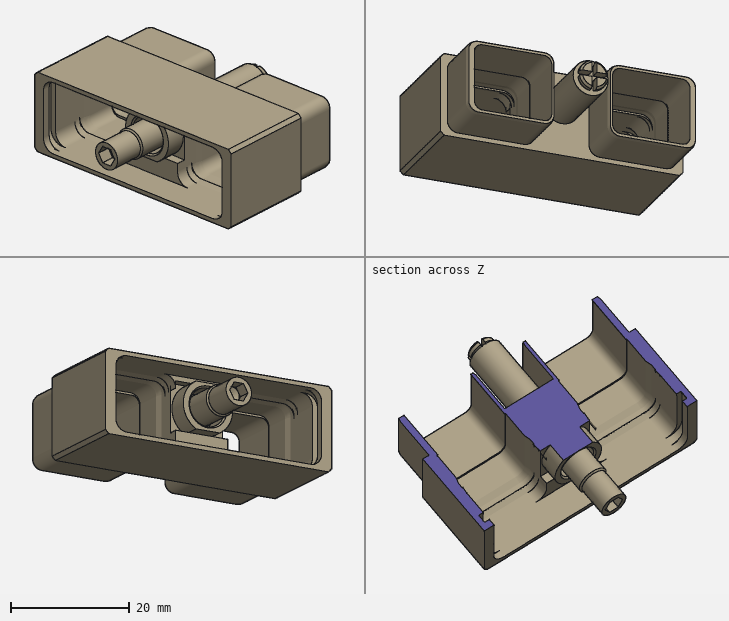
import cadquery as cq
import math


BODY_WIDTH = 44.5
BODY_HEIGHT = 15.16
BODY_DEPTH = 17.85
BODY_CHAMFER = 0.65

TUBE_CENTER_X = 13.0
TUBE_WIDTH = 16.0
TUBE_HEIGHT = 13.5
TUBE_LENGTH = 8.95
TUBE_CORNER_RADIUS = 1.95
TUBE_LEAD_LENGTH = 0.7
TUBE_EMBED = 1.0
TUBE_END = BODY_DEPTH + TUBE_LENGTH

SOCKET_CENTER_X = 12.68
SOCKET_WIDTH = 15.1
CAVITY_HEIGHT = 13.56
CAVITY_RADIUS = 2.2
CAVITY_WIDTH = 2 * SOCKET_CENTER_X + SOCKET_WIDTH
CAVITY_DEPTH = 5.65
DRAFT_ANGLE = math.radians(15)
RAMP_RISE = 0.33
RAMP_LENGTH = RAMP_RISE / math.tan(DRAFT_ANGLE)
RAMP_START = 10.3
RAMP_END = RAMP_START + RAMP_LENGTH
LEDGE_DEPTH = 17.0
OUTLET_WIDTH = 14.2
OUTLET_HEIGHT = 12.1
OUTLET_RADIUS = 1.5

RIB_START = 8.0

UNDERCUT_START = 1.45
UNDERCUT_END = 3.1
UNDERCUT_DEPTH = 1.05
UNDERCUT_RADIUS = 2.5

SCREW_Z = 1.5
NOTCH_HEIGHT = 8.75
NOTCH_DEPTH = 7.4
BOSS_RADIUS = 4.85
BOSS_FLAT_HEIGHT = 8.5
BOSS_FRONT = 3.6
BORE_RADIUS = 3.42
BORE_CHAMFER = 0.3
BORE_END = 8.5

SHANK_RADIUS = 2.8
SHANK_FRONT = -0.9
TIP_RADIUS = 2.5
TIP_FRONT = -6.7
HEX_ACROSS_FLATS = 3.1
HEX_DEPTH = 2.5
SLEEVE_RADIUS = 3.2
SLEEVE_START = NOTCH_DEPTH
SLEEVE_OVERHANG = 12.65
SLEEVE_END = BODY_DEPTH + SLEEVE_OVERHANG
HEAD_RADIUS = 2.62
HEAD_NECK_RADIUS = 2.3
HEAD_NECK_LENGTH = 0.6
HEAD_CHAMFER = 0.4
HEAD_LENGTH = 1.7
HEAD_SLOT_WIDTH = 0.9


def box(width, height, start, end, x=0.0, z=0.0):
    """Box centred on (x, z) that spans start..end along Y."""
    return cq.Workplane("XY").box(width, end - start, height).translate((x, (start + end) / 2, z))


def rounded_box(width, height, radius, start, end, x=0.0):
    """Box along Y whose four long edges are rounded."""
    return box(width, height, start, end, x).edges("|Y").fillet(radius)


def disc(radius, start, end):
    """Cylinder on the screw axis."""
    plane = cq.Workplane("XZ", origin=(0, start, SCREW_Z))
    return plane.circle(radius).extrude(start - end)


def turned(profile):
    """Solid of revolution about the screw axis from (radius, y) points."""
    outline = cq.Workplane("XY", origin=(0, 0, SCREW_Z)).polyline(profile).close()
    return outline.revolve(360, (0, 0, 0), (0, 1, 0))


def rear_tube(x):
    """Rounded tube blank with a slim lead-in taper at its far end."""
    tube = rounded_box(TUBE_WIDTH, TUBE_HEIGHT, TUBE_CORNER_RADIUS, BODY_DEPTH - TUBE_EMBED, TUBE_END, x)
    inset = TUBE_LEAD_LENGTH * math.tan(DRAFT_ANGLE)
    return tube.faces(">Y").chamfer(inset, TUBE_LEAD_LENGTH)


def socket(x):
    """Hollow of one socket: wide mouth, tapered ramp, narrow bore and the outlet through the tube."""
    mouth = rounded_box(SOCKET_WIDTH, CAVITY_HEIGHT, CAVITY_RADIUS, 0, RAMP_END, x)
    mouth = mouth.faces(">Y").chamfer(RAMP_RISE, RAMP_LENGTH)
    bore = rounded_box(
        SOCKET_WIDTH - 2 * RAMP_RISE,
        CAVITY_HEIGHT - 2 * RAMP_RISE,
        CAVITY_RADIUS - RAMP_RISE,
        CAVITY_DEPTH,
        LEDGE_DEPTH,
        x,
    )
    outlet = rounded_box(OUTLET_WIDTH, OUTLET_HEIGHT, OUTLET_RADIUS, CAVITY_DEPTH, TUBE_END, x)
    return mouth.union(bore).union(outlet)


def rib_pair(x):
    """Barbed ribs on the floor and ceiling of a socket that fade out in its rounded corners."""
    crest_y = RIB_START + RAMP_LENGTH
    mouth_z = CAVITY_HEIGHT / 2
    crest_z = mouth_z - RAMP_RISE
    outline = [(RIB_START, mouth_z), (crest_y, crest_z), (crest_y, -crest_z), (RIB_START, -mouth_z)]
    plane = cq.Workplane("YZ", origin=(x - SOCKET_WIDTH / 2, 0, 0))
    passage = plane.polyline(outline).close().extrude(SOCKET_WIDTH)
    passage = passage.edges("not (|X or |Z)").fillet(CAVITY_RADIUS)
    filling = rounded_box(SOCKET_WIDTH, CAVITY_HEIGHT, CAVITY_RADIUS, RIB_START, crest_y, x)
    return filling.cut(passage)


def housing():
    """Block with two tubes, hollowed by the front cavity, undercut, sockets and web notch."""
    body = box(BODY_WIDTH, BODY_HEIGHT, 0, BODY_DEPTH).edges("|Y").chamfer(BODY_CHAMFER)
    undercut_width = CAVITY_WIDTH + 2 * UNDERCUT_DEPTH
    hollow = rounded_box(CAVITY_WIDTH, CAVITY_HEIGHT, CAVITY_RADIUS, 0, CAVITY_DEPTH)
    hollow = hollow.union(
        rounded_box(undercut_width, CAVITY_HEIGHT, UNDERCUT_RADIUS, UNDERCUT_START, UNDERCUT_END)
    )
    web_width = 2 * SOCKET_CENTER_X - SOCKET_WIDTH
    hollow = hollow.union(box(web_width, NOTCH_HEIGHT, 0, NOTCH_DEPTH, z=SCREW_Z))
    for side in (-1, 1):
        body = body.union(rear_tube(side * TUBE_CENTER_X))
        hollow = hollow.union(socket(side * SOCKET_CENTER_X))
    body = body.cut(hollow)
    for side in (-1, 1):
        body = body.union(rib_pair(side * SOCKET_CENTER_X))
    return body


def screw_boss():
    """Boss standing in the notch, flattened above and below."""
    boss = disc(BOSS_RADIUS, BOSS_FRONT, NOTCH_DEPTH)
    flats = box(2 * BOSS_RADIUS, BOSS_FLAT_HEIGHT, BOSS_FRONT, NOTCH_DEPTH, z=SCREW_Z)
    return boss.intersect(flats)


def screw_bore():
    """Clearance bore around the shank, chamfered where it enters the boss."""
    mouth_radius = BORE_RADIUS + BORE_CHAMFER
    return turned(
        [
            (0, BOSS_FRONT),
            (mouth_radius, BOSS_FRONT),
            (BORE_RADIUS, BOSS_FRONT + BORE_CHAMFER),
            (BORE_RADIUS, BORE_END),
            (0, BORE_END),
        ]
    )


def screw():
    """Hex-socket tip and shank in front, sleeve and cross-slotted head behind."""
    head_end = SLEEVE_END + HEAD_LENGTH
    blank = turned(
        [
            (0, TIP_FRONT),
            (TIP_RADIUS, TIP_FRONT),
            (TIP_RADIUS, SHANK_FRONT),
            (SHANK_RADIUS, SHANK_FRONT + SHANK_RADIUS - TIP_RADIUS),
            (SHANK_RADIUS, SLEEVE_START),
            (SLEEVE_RADIUS, SLEEVE_START),
            (SLEEVE_RADIUS, SLEEVE_END),
            (HEAD_NECK_RADIUS, SLEEVE_END),
            (HEAD_RADIUS, SLEEVE_END + HEAD_NECK_LENGTH),
            (HEAD_RADIUS, head_end - HEAD_CHAMFER),
            (HEAD_RADIUS - HEAD_CHAMFER, head_end),
            (0, head_end),
        ]
    )
    hex_diameter = HEX_ACROSS_FLATS / math.cos(math.pi / 6)
    hex_plane = cq.Workplane("XZ", origin=(0, TIP_FRONT, SCREW_Z))
    hex_socket = hex_plane.polygon(6, hex_diameter).extrude(-HEX_DEPTH)
    cone_start = TIP_FRONT + HEX_DEPTH
    cone_radius = HEX_ACROSS_FLATS / 2
    cone_length = cone_radius * math.tan(math.pi / 6)
    cone = turned([(0, cone_start), (cone_radius, cone_start), (0, cone_start + cone_length)])
    slot_length = 2 * HEAD_RADIUS
    slots = box(HEAD_SLOT_WIDTH, slot_length, SLEEVE_END, head_end, z=SCREW_Z)
    slots = slots.union(box(slot_length, HEAD_SLOT_WIDTH, SLEEVE_END, head_end, z=SCREW_Z))
    return blank.cut(hex_socket).cut(cone).cut(slots)


result = housing().union(screw_boss()).cut(screw_bore()).union(screw())